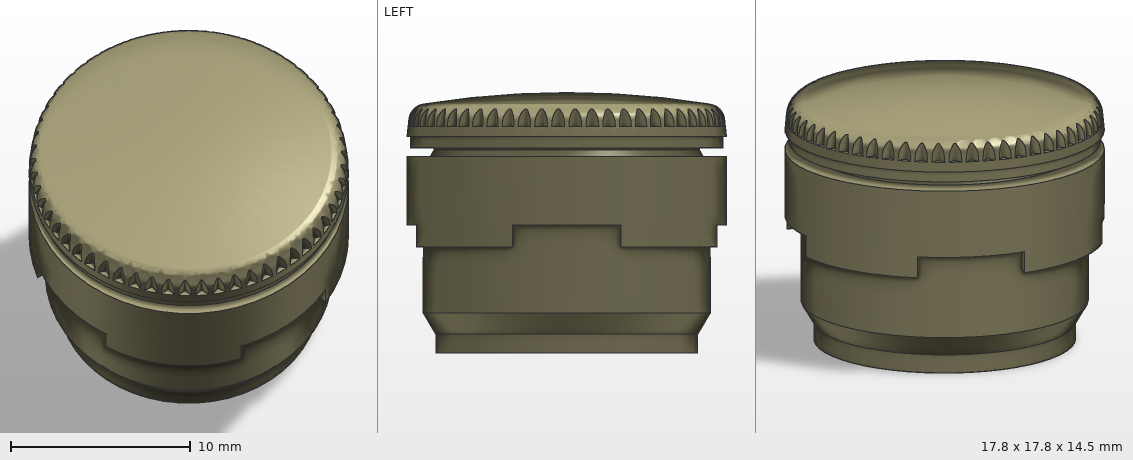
import cadquery as cq
import math

outer_diameter = 17.8
total_height = 14.5

spigot_diameter = 14.6
barrel_diameter = 16.0
neck_diameter = 14.8
neck_root_diameter = 15.2
spigot_top = 1.05
barrel_bottom = 2.25
collar_bottom = 5.91
collar_top = 10.95
neck_cone_top = 11.3
notch_width = 6.05
notch_height = 1.21

cap_bottom = 11.43
flange_diameter = 17.4
rim_bottom = 12.05
rim_taper_angle = 6.0
dome_radius = 50.02
rim_fillet = 1.0

groove_count = 58
first_groove_angle = 90.0
groove_bottom = 12.6
groove_floor_radius = 8.5
groove_root_radius = 0.1
mouth_clearance = 0.18
groove_wall_angle = 45.0


def make_notches():
    """Four notches from two crossed bars, kept clear of the barrel."""
    notch_level = cq.Workplane("XY", origin=(0, 0, collar_bottom))
    along_x = notch_level.rect(outer_diameter, notch_width).extrude(notch_height)
    along_y = notch_level.rect(notch_width, outer_diameter).extrude(notch_height)
    barrel = notch_level.circle(barrel_diameter / 2).extrude(notch_height)
    return along_x.union(along_y).cut(barrel)


def make_housing():
    """Revolved body with four notches in the lower edge of its collar."""
    profile = [
        (0, 0),
        (spigot_diameter / 2, 0),
        (spigot_diameter / 2, spigot_top),
        (barrel_diameter / 2, barrel_bottom),
        (barrel_diameter / 2, collar_bottom),
        (outer_diameter / 2, collar_bottom),
        (outer_diameter / 2, collar_top),
        (neck_root_diameter / 2, collar_top),
        (neck_diameter / 2, neck_cone_top),
        (neck_diameter / 2, cap_bottom),
        (0, cap_bottom),
    ]
    body = cq.Workplane("XZ").polyline(profile).close().revolve(360, (0, 0), (0, 1))
    return body.cut(make_notches())


def make_rim():
    """Tapered disc closed by a shallow dome, with a rounded upper edge."""
    cone = (
        cq.Workplane("XY", origin=(0, 0, rim_bottom))
        .circle(outer_diameter / 2)
        .extrude(total_height - rim_bottom, taper=rim_taper_angle)
    )
    dome = cq.Workplane("XY", origin=(0, 0, total_height - dome_radius)).sphere(dome_radius)
    return cone.intersect(dome).faces("%CONE").edges(">Z").fillet(rim_fillet)


def make_groove(angle):
    """Vertical V-shaped cutter, opening outwards at the given angle."""
    wall_angle = math.radians(groove_wall_angle)
    tangent_x = groove_floor_radius + groove_root_radius * (1 - math.sin(wall_angle))
    tangent_y = groove_root_radius * math.cos(wall_angle)
    mouth_x = outer_diameter / 2 + mouth_clearance
    mouth_y = tangent_y + (mouth_x - tangent_x) * math.tan(wall_angle)
    cutter = (
        cq.Workplane("XY", origin=(0, 0, groove_bottom))
        .moveTo(mouth_x, mouth_y)
        .lineTo(tangent_x, tangent_y)
        .threePointArc((groove_floor_radius, 0), (tangent_x, -tangent_y))
        .lineTo(mouth_x, -mouth_y)
        .close()
        .extrude(total_height - groove_bottom)
    )
    return cutter.rotate((0, 0, 0), (0, 0, 1), angle).val()


def make_cap():
    """Flange and knurled rim as one solid."""
    step = 360.0 / groove_count
    grooves = [make_groove(first_groove_angle + index * step) for index in range(groove_count)]
    rim = cq.Workplane(make_rim().val().cut(*grooves))
    flange = (
        cq.Workplane("XY", origin=(0, 0, cap_bottom))
        .circle(flange_diameter / 2)
        .extrude(rim_bottom - cap_bottom)
    )
    return rim.union(flange)


housing = make_housing()
cap = make_cap()

result = cq.Compound.makeCompound([housing.val(), cap.val()])